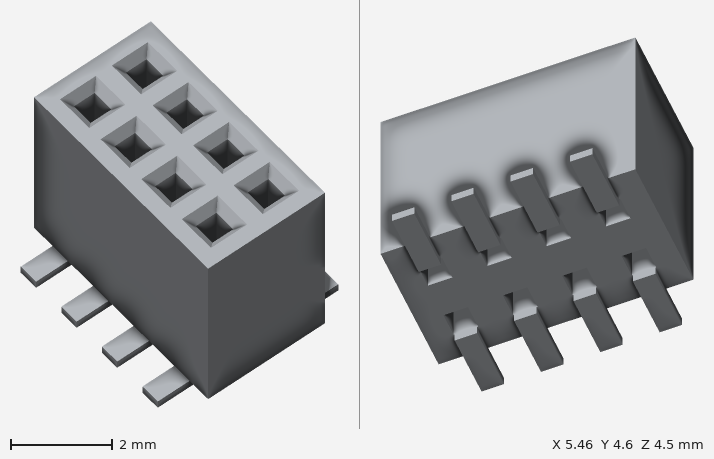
import cadquery as cq

body_width = 5.46
overall_depth = 4.6
overall_height = 4.5
lead_thickness = 0.2

body_depth = 2.975
body_height = overall_height - lead_thickness

columns = 4
rows = 2
column_pitch = 1.27
row_pitch = 1.32

bore_side = 0.525
mouth_side = 0.92
mouth_depth = (mouth_side - bore_side) / 2

lead_width = 0.48
lead_inner_y = (row_pitch + bore_side) / 2
lead_length = overall_depth / 2 - lead_inner_y


def make_body():
    """Housing block standing on top of the leads, centred on Z."""
    return (
        cq.Workplane("XY")
        .workplane(offset=lead_thickness)
        .rect(body_width, body_depth)
        .extrude(body_height)
    )


def make_socket():
    """Solid to remove for one contact: straight bore plus flared mouth."""
    bore = cq.Workplane("XY").rect(bore_side, bore_side).extrude(overall_height)
    mouth = (
        cq.Workplane("XY")
        .workplane(offset=overall_height - mouth_depth)
        .rect(bore_side, bore_side)
        .workplane(offset=mouth_depth)
        .rect(mouth_side, mouth_side)
        .loft(ruled=True)
    )
    return bore.union(mouth)


def make_leads():
    """One lead per contact, front and back rows."""
    lead_y = lead_inner_y + lead_length / 2
    return (
        cq.Workplane("XY")
        .rarray(column_pitch, 2 * lead_y, columns, rows)
        .rect(lead_width, lead_length)
        .extrude(lead_thickness)
    )


socket = make_socket()
sockets = (
    cq.Workplane("XY")
    .rarray(column_pitch, row_pitch, columns, rows)
    .eachpoint(lambda location: socket.val().moved(location))
)

result = make_body().cut(sockets).union(make_leads())